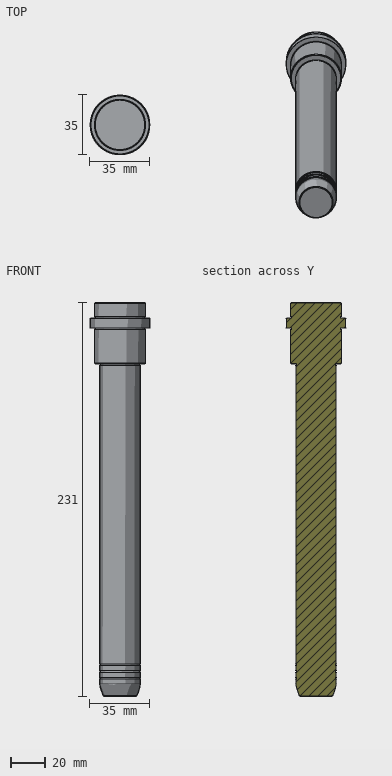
import cadquery as cq

total_length = 231.0
pillar_radius = 12.0

head_radius = 15.0
head_length = 36.0
head_chamfer = 0.5

collar_radius = 17.5
collar_top_depth = 9.0
collar_height = 6.0
collar_chamfer = 0.5

relief_groove_radius = 0.375

neck_height = 1.0
neck_depth = 0.5

oil_groove_count = 3
oil_groove_pitch = 4.0
oil_groove_radius = 0.5
lowest_oil_groove_height = 10.5

lead_in_height = 7.5
lead_in_mid_height = 3.5
lead_in_mid_radius = 11.2
tip_radius = 10.0
tip_chamfer = 0.5

head_bottom = total_length - head_length
collar_top = total_length - collar_top_depth
collar_bottom = collar_top - collar_height


def revolve_about_z(profile):
    """Revolve a closed XZ profile fully around the Z axis."""
    return profile.revolve(360, (0, 0), (0, 1))


def half_round_groove(surface_radius, center_height, groove_radius):
    """Make the cutter for a half-round groove running around a cylinder."""
    profile = (
        cq.Workplane("XZ")
        .moveTo(surface_radius, center_height - groove_radius)
        .threePointArc(
            (surface_radius - groove_radius, center_height),
            (surface_radius, center_height + groove_radius),
        )
        .close()
    )
    return revolve_about_z(profile)


def make_pillar():
    """Build the long pillar: tip, lead-in, shaft and neck, with its oil grooves."""
    neck_radius = pillar_radius - neck_depth
    neck_bottom = head_bottom - neck_height
    profile = (
        cq.Workplane("XZ")
        .moveTo(0, 0)
        .lineTo(tip_radius - tip_chamfer, 0)
        .lineTo(tip_radius, tip_chamfer)
        .threePointArc((lead_in_mid_radius, lead_in_mid_height), (pillar_radius, lead_in_height))
        .lineTo(pillar_radius, neck_bottom)
        .lineTo(neck_radius, neck_bottom)
        .lineTo(neck_radius, head_bottom)
        .lineTo(0, head_bottom)
        .close()
    )
    pillar = revolve_about_z(profile)
    for index in range(oil_groove_count):
        groove_height = lowest_oil_groove_height + index * oil_groove_pitch
        pillar = pillar.cut(half_round_groove(pillar_radius, groove_height, oil_groove_radius))
    return pillar


def make_head():
    """Build the head cylinder, chamfered at both ends, with its relief grooves."""
    head = (
        cq.Workplane("XY")
        .workplane(offset=head_bottom)
        .circle(head_radius)
        .extrude(head_length)
        .faces("<Z or >Z")
        .chamfer(head_chamfer)
    )
    for groove_height in (collar_top + relief_groove_radius, collar_bottom - relief_groove_radius):
        head = head.cut(half_round_groove(head_radius, groove_height, relief_groove_radius))
    return head


def make_collar():
    """Build the collar with its chamfered upper rim."""
    return (
        cq.Workplane("XY")
        .workplane(offset=collar_bottom)
        .circle(collar_radius)
        .extrude(collar_height)
        .faces(">Z")
        .chamfer(collar_chamfer)
    )


result = make_pillar().union(make_head()).union(make_collar())